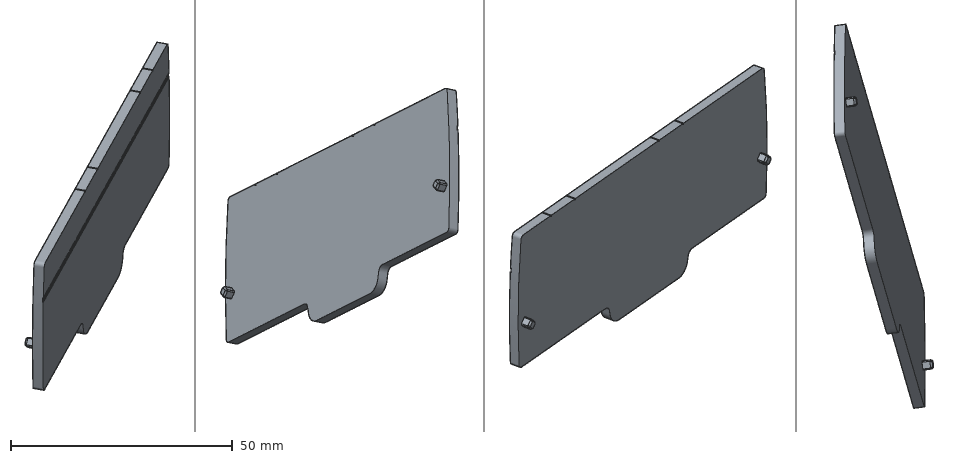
import cadquery as cq
import math

length = 94.7
height = 39.8
plate_thickness = 2.5
peg_length = 2.3

tab_height = 5.4
bow_height = 18.4
bow_radius = 195.1
top_corner_radius = 0.9
bottom_corner_radius = 0.9

tab_center = -2.4
tab_half_width = 15.2
tab_wall_angle = 12.0
tab_root_radius = 1.6
tab_tip_radius = 3.5

peg_spacing = 89.7
peg_height = 16.7
peg_width = 2.6
peg_corner_flat = 0.4
peg_tip_width = 1.8
peg_tip_taper = 0.5

top_groove_pair_centers = (30.2, -10.9)
top_groove_spacing = 9.2
top_groove_width = 0.2
top_groove_depth = 0.3

face_groove_center = 30.4
face_groove_width = 0.9
face_groove_depth = 0.2


def end_half_length(z):
    """Distance from the middle to the bowed end at height z."""
    drop = bow_radius - math.sqrt(bow_radius**2 - (z - bow_height) ** 2)
    return length / 2 - drop


def fillet_corners(body, corners, radius):
    """Round the edges along X that pass through the given (y, z) corners."""
    for y, z in corners:
        corner = (plate_thickness / 2, y, z)
        body = body.edges(cq.selectors.NearestToPointSelector(corner)).fillet(radius)
    return body


def mirrored_pair(center, half_width, z):
    """The +Y and -Y corners that lie at equal distances from center, at height z."""
    return [(center + half_width, z), (center - half_width, z)]


def make_plate():
    tab_tip_half_width = tab_half_width - tab_height * math.tan(math.radians(tab_wall_angle))
    top = mirrored_pair(0, end_half_length(height), height)
    bottom = mirrored_pair(0, end_half_length(tab_height), tab_height)
    tab_root = mirrored_pair(tab_center, tab_half_width, tab_height)
    tab_tip = mirrored_pair(tab_center, tab_tip_half_width, 0)

    plate = (
        cq.Workplane("YZ")
        .moveTo(*tab_tip[1])
        .lineTo(*tab_tip[0])
        .lineTo(*tab_root[0])
        .lineTo(*bottom[0])
        .threePointArc((length / 2, bow_height), top[0])
        .lineTo(*top[1])
        .threePointArc((-length / 2, bow_height), bottom[1])
        .lineTo(*tab_root[1])
        .close()
        .extrude(plate_thickness)
    )
    plate = fillet_corners(plate, top, top_corner_radius)
    plate = fillet_corners(plate, bottom, bottom_corner_radius)
    plate = fillet_corners(plate, tab_root, tab_root_radius)
    return fillet_corners(plate, tab_tip, tab_tip_radius)


def cut_square(reach):
    """Outline of a square turned on its corner, with its corners cut off at the given reach."""
    half_flat = reach * peg_corner_flat / peg_width
    return [
        (reach, -half_flat),
        (reach, half_flat),
        (half_flat, reach),
        (-half_flat, reach),
        (-reach, half_flat),
        (-reach, -half_flat),
        (-half_flat, -reach),
        (half_flat, -reach),
    ]


def make_peg(y):
    root = cut_square(peg_width / 2)
    tip = cut_square(peg_tip_width / 2)
    return (
        cq.Workplane("YZ", origin=(0, y, peg_height))
        .polyline(root)
        .close()
        .extrude(peg_tip_taper - peg_length)
        .copyWorkplane(cq.Workplane("YZ", origin=(peg_tip_taper - peg_length, y, peg_height)))
        .polyline(root)
        .close()
        .workplane(offset=-peg_tip_taper)
        .polyline(tip)
        .close()
        .loft(ruled=True)
    )


def make_top_groove(y):
    return (
        cq.Workplane("XY", origin=(plate_thickness / 2, y, height))
        .rect(plate_thickness, top_groove_width)
        .extrude(-top_groove_depth)
    )


def make_face_groove():
    return (
        cq.Workplane("YZ", origin=(plate_thickness, 0, face_groove_center))
        .rect(length, face_groove_width)
        .extrude(-face_groove_depth)
    )


result = make_plate().cut(make_face_groove())
for side in (-1, 1):
    result = result.union(make_peg(side * peg_spacing / 2))
for pair_center in top_groove_pair_centers:
    for side in (-1, 1):
        result = result.cut(make_top_groove(pair_center + side * top_groove_spacing / 2))